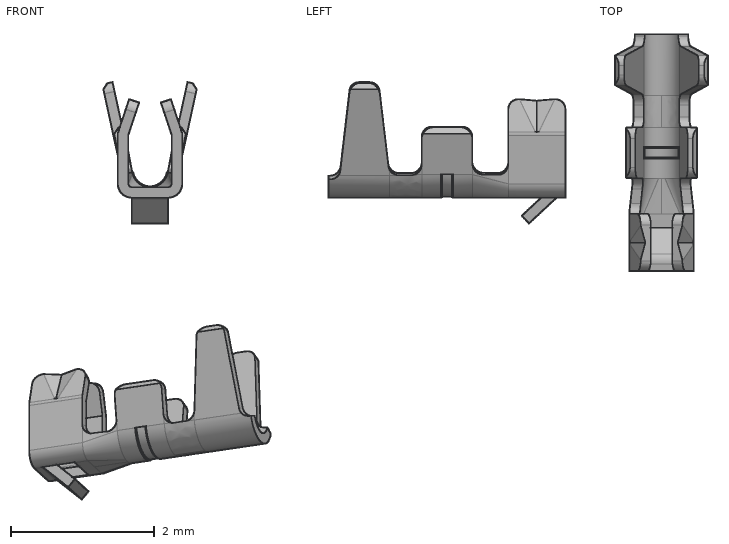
import cadquery as cq
import math


SHEET = 0.15
INNER_BEND = 0.05
OUTER_BEND = INNER_BEND + SHEET
CORNER_RADIUS = 0.15
TIP_CHAMFER = SHEET / 2

REAR_END = 1.65
INSULATION_REAR = 1.498
INSULATION_FRONT = 0.802
WIRE_REAR = 0.353
WIRE_FRONT = -WIRE_REAR
BOX_REAR = -0.85
FRONT_END = -REAR_END

TROUGH_INNER = 0.25
TROUGH_OUTER = TROUGH_INNER + SHEET
BOX_BLEND_ANGLE = 10.0
STUB = 0.165

INSULATION_LEAN = 12.3
INSULATION_ARM = 1.297
INSULATION_TIP_HALF = 0.198
WIRE_LEAN = 10.5
WIRE_ARM = 0.65
TAIL_LEAN = 21.0

BOX_WIDTH = 0.9
BOX_HALF = BOX_WIDTH / 2
BOX_INNER_HALF = BOX_HALF - SHEET
BOX_FLAT_HALF = BOX_HALF - OUTER_BEND
BOX_BEND_HEIGHT = 0.87
BOX_STUB_HEIGHT = 0.528
LIP_LEAN = 18.4
LIP_LENGTH = 0.482
CREASE_START_DEPTH = 0.005
CREASE_DEPTH = 0.07
CREASE_HALF_WIDTH = 0.248

TAB_HALF = 0.255
TAB_ANGLE = 43.0
TAB_HINGE = -1.545
TAB_LENGTH = 0.505
WINDOW_REAR = -1.045

SERRATION_BASE = 0.168
SERRATION_FLAT = 0.13
SERRATION_DEPTH = 0.013

REACH = 3.3


def polar(radius, degrees, center=(0, 0)):
    """Point on a circle, with the angle measured from straight down towards +X."""
    angle = math.radians(degrees)
    return center[0] + radius * math.sin(angle), center[1] - radius * math.cos(angle)


def trough_point(radius, degrees):
    return polar(radius, degrees, (0, TROUGH_OUTER))


def along(point, lean, distance):
    """Move up a wall leaning outwards by the given angle."""
    angle = math.radians(lean)
    return point[0] + distance * math.sin(angle), point[1] + distance * math.cos(angle)


def arm_plane(foot, lean, y=0.0):
    """Plane on the inner face of a wall: local x along Y, local y up the wall, normal outwards."""
    angle = math.radians(lean)
    normal = (math.cos(angle), 0, -math.sin(angle))
    return cq.Workplane(cq.Plane((foot[0], y, foot[1]), (0, 1, 0), normal))


def crimp_foot(lean):
    return trough_point(TROUGH_INNER, 90 - lean)


def crimp_outline(work, lean, length, chamfer=0.0, floor_angle=0.0):
    """Half section of a crimp barrel: round trough, optionally split near the floor, and a leaning arm."""
    end = 90 - lean
    middle = (floor_angle + end) / 2
    outer_foot = trough_point(TROUGH_OUTER, end)
    inner_foot = crimp_foot(lean)
    inner_tip = along(inner_foot, lean, length)

    outline = work.moveTo(0, 0)
    if floor_angle:
        outline = outline.threePointArc(trough_point(TROUGH_OUTER, floor_angle / 2),
                                        trough_point(TROUGH_OUTER, floor_angle))
    outline = (
        outline.threePointArc(trough_point(TROUGH_OUTER, middle), outer_foot)
        .lineTo(*along(outer_foot, lean, length - chamfer))
    )
    if chamfer:
        outline = outline.lineTo(*along(inner_tip, lean + 90, SHEET - chamfer))
    outline = (
        outline.lineTo(*inner_tip)
        .lineTo(*inner_foot)
        .threePointArc(trough_point(TROUGH_INNER, middle), trough_point(TROUGH_INNER, floor_angle))
    )
    if floor_angle:
        outline = outline.threePointArc(trough_point(TROUGH_INNER, floor_angle / 2), (0, SHEET))
    return outline.close()


def box_outline(work, height, with_lip=False):
    """Half section of the box: flat floor, rounded corner, upright wall and inward-leaning lip."""
    corner = (BOX_FLAT_HALF, OUTER_BEND)
    outline = (
        work.moveTo(0, 0)
        .lineTo(BOX_FLAT_HALF, 0)
        .threePointArc(polar(OUTER_BEND, 45, corner), (BOX_HALF, OUTER_BEND))
        .lineTo(BOX_HALF, height)
    )
    if with_lip:
        pivot = (BOX_INNER_HALF, height)
        bend_end = polar(SHEET, 90 + LIP_LEAN, pivot)
        outline = (
            outline.threePointArc(polar(SHEET, 90 + LIP_LEAN / 2, pivot), bend_end)
            .lineTo(*along(bend_end, -LIP_LEAN, LIP_LENGTH))
            .lineTo(*along(pivot, -LIP_LEAN, LIP_LENGTH))
        )
    return (
        outline.lineTo(BOX_INNER_HALF, height)
        .lineTo(BOX_INNER_HALF, OUTER_BEND)
        .threePointArc(polar(INNER_BEND, 45, corner), (BOX_FLAT_HALF, SHEET))
        .lineTo(0, SHEET)
        .close()
    )


def section_plane(y):
    return cq.Workplane("XZ", origin=(0, y, 0))


def wall_block(plane, half_foot, half_tip, length):
    """Block that trims a wall above the stub to a tapered shape with two rounded tip corners."""
    half_stub = half_foot - (half_foot - half_tip) * STUB / length
    right_side = [(half_foot, -REACH), (half_foot, STUB), (half_stub, STUB), (half_tip, length)]
    left_side = [(-y, height) for y, height in reversed(right_side)]
    corners = right_side + left_side
    outline = cq.Sketch().polygon(corners + corners[:1]).vertices(">Y").fillet(CORNER_RADIUS)
    return plane.placeSketch(outline).extrude(REACH, both=True)


def crimp_barrel(rear, front, lean, length, half_tip):
    """Crimp barrel with its chamfered and rounded arm."""
    blank = crimp_outline(section_plane(rear), lean, length, TIP_CHAMFER).extrude(rear - front)
    plane = arm_plane(crimp_foot(lean), lean, (rear + front) / 2)
    return blank.intersect(wall_block(plane, (rear - front) / 2, half_tip, length))


def crimp_to_crimp():
    rear = crimp_outline(section_plane(INSULATION_FRONT), INSULATION_LEAN, STUB)
    front_plane = rear.workplane(offset=INSULATION_FRONT - WIRE_REAR)
    return crimp_outline(front_plane, WIRE_LEAN, STUB).loft(ruled=True)


def crimp_to_box():
    rear = crimp_outline(section_plane(WIRE_FRONT), WIRE_LEAN, STUB, floor_angle=BOX_BLEND_ANGLE)
    front_plane = rear.workplane(offset=WIRE_FRONT - BOX_REAR)
    return box_outline(front_plane, BOX_STUB_HEIGHT).loft(ruled=True)


def tail():
    return crimp_outline(section_plane(REAR_END), INSULATION_LEAN, STUB).extrude(REAR_END - INSULATION_REAR)


def gap(lean, rear, front, rear_taper=0.0, front_taper=0.0):
    """Cutter that leaves a low wall with rounded roots; each end slopes by its taper per unit of height."""
    corners = [
        (front, 0),
        (rear, 0),
        (rear + rear_taper * REACH, REACH),
        (front - front_taper * REACH, REACH),
    ]
    outline = cq.Sketch().polygon(corners + corners[:1]).vertices("<Y").fillet(CORNER_RADIUS)
    return arm_plane(crimp_foot(lean), lean).placeSketch(outline).extrude(TROUGH_OUTER, both=True)


def serration_band(lean, base_radius):
    """Quarter ring of trapezoid section whose flat lies one depth inside the base radius."""
    surface = TROUGH_OUTER - base_radius
    half_base = SERRATION_BASE / 2
    half_flat = SERRATION_FLAT / 2
    return (
        cq.Workplane("YZ")
        .polyline([
            (-half_base, surface - SERRATION_DEPTH),
            (half_base, surface - SERRATION_DEPTH),
            (half_base, surface),
            (half_flat, surface + SERRATION_DEPTH),
            (-half_flat, surface + SERRATION_DEPTH),
            (-half_base, surface),
        ])
        .close()
        .revolve(90 - lean, (0, TROUGH_OUTER), (-1, TROUGH_OUTER))
    )


def box():
    length = BOX_REAR - FRONT_END
    middle = (BOX_REAR + FRONT_END) / 2
    pivot = (BOX_INNER_HALF, BOX_BEND_HEIGHT)
    blank = box_outline(section_plane(BOX_REAR), BOX_BEND_HEIGHT, with_lip=True).extrude(length)
    lip_block = wall_block(arm_plane(pivot, -LIP_LEAN, middle), length / 2, length / 2, LIP_LENGTH)
    return blank.intersect(lip_block).cut(lip_crease(pivot, middle)).cut(window())


def lip_crease(pivot, middle):
    """V groove along the lip, shallow at the bend and deepest at the tip."""
    start = polar(SHEET - CREASE_START_DEPTH, 90 + LIP_LEAN, pivot)
    lean = math.radians(LIP_LEAN) + math.atan2(CREASE_DEPTH - CREASE_START_DEPTH, LIP_LENGTH)
    crease_up = (-math.sin(lean), 0, math.cos(lean))
    plane = cq.Plane((start[0], middle, start[1]), (0, -1, 0), crease_up)
    outside = 2 * CREASE_DEPTH
    half_width = outside * CREASE_HALF_WIDTH / CREASE_DEPTH
    return (
        cq.Workplane(plane)
        .polyline([(0, 0), (half_width, outside), (-half_width, outside)])
        .close()
        .extrude(2 * LIP_LENGTH)
    )


def window():
    return (
        cq.Workplane("XY", origin=(0, TAB_HINGE, 0))
        .rect(TAB_HALF, WINDOW_REAR - TAB_HINGE, centered=False)
        .extrude(SHEET)
    )


def locking_tab():
    """Half of the tab: a bend at the hinge, then a straight leg that slopes down towards the rear."""
    center = (TAB_HINGE, SHEET - OUTER_BEND)
    half_angle = 180 - TAB_ANGLE / 2
    upper_end = polar(OUTER_BEND, 180 - TAB_ANGLE, center)
    lower_end = polar(INNER_BEND, 180 - TAB_ANGLE, center)
    lean = 90 + TAB_ANGLE
    return (
        cq.Workplane("YZ")
        .moveTo(TAB_HINGE, SHEET)
        .threePointArc(polar(OUTER_BEND, half_angle, center), upper_end)
        .lineTo(*along(upper_end, lean, TAB_LENGTH))
        .lineTo(*along(lower_end, lean, TAB_LENGTH))
        .lineTo(*lower_end)
        .threePointArc(polar(INNER_BEND, half_angle, center), (TAB_HINGE, 0))
        .close()
        .extrude(TAB_HALF)
    )


insulation_half = (INSULATION_REAR - INSULATION_FRONT) / 2
insulation_taper = (insulation_half - INSULATION_TIP_HALF) / INSULATION_ARM
insulation_barrel = crimp_barrel(
    INSULATION_REAR, INSULATION_FRONT, INSULATION_LEAN, INSULATION_ARM, INSULATION_TIP_HALF
)
wire_barrel = crimp_barrel(WIRE_REAR, WIRE_FRONT, WIRE_LEAN, WIRE_ARM, WIRE_REAR)

half = (
    tail()
    .union(insulation_barrel)
    .union(crimp_to_crimp())
    .union(wire_barrel)
    .union(crimp_to_box())
    .cut(gap(TAIL_LEAN, REACH, INSULATION_REAR, front_taper=insulation_taper))
    .cut(gap(INSULATION_LEAN, INSULATION_FRONT, WIRE_REAR, rear_taper=insulation_taper))
    .cut(gap(WIRE_LEAN, WIRE_FRONT, BOX_REAR))
    .cut(serration_band(WIRE_LEAN, TROUGH_OUTER))
    .union(serration_band(WIRE_LEAN, TROUGH_INNER))
    .union(box())
    .union(locking_tab())
)
result = half.union(half.mirror("YZ"))